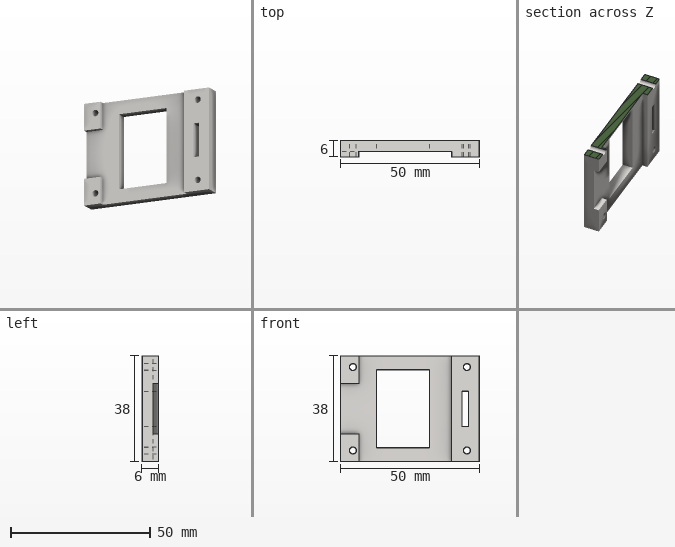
import cadquery as cq

width = 50.0
height = 38.0
plate_thickness = 4.0
pad_thickness = 2.0

corner_pad_width = 6.6
corner_pad_height = 10.0
strip_width = 10.0

window_left = 13.0
window_width = 19.0
window_margin = 5.0
window_height = height - 2 * window_margin

slot_width = 2.2
slot_height = 12.6
slot_right_margin = 4.0
slot_left = width - slot_right_margin - slot_width

hole_diameter = 2.4
hole_side_margin = 4.5
hole_end_margin = 4.0

total_depth = pad_thickness + plate_thickness


def block(left, bottom, front, size_x, size_z, depth):
    """Box placed by its left, front, bottom corner."""
    return cq.Workplane("XY").box(size_x, depth, size_z, centered=False).translate((left, front, bottom))


def through_opening(left, size_x, size_z):
    """Rectangular cutter through the full depth, centred in height."""
    return block(left, (height - size_z) / 2, 0, size_x, size_z, total_depth)


def screw_hole(x, z):
    """Cylindrical cutter through the full depth."""
    cutter = cq.Workplane("XZ").circle(hole_diameter / 2).extrude(-total_depth)
    return cutter.translate((x, 0, z))


body = block(0, 0, pad_thickness, width, height, plate_thickness)

body = body.union(block(width - strip_width, 0, 0, strip_width, height, pad_thickness))
for pad_bottom in (0, height - corner_pad_height):
    body = body.union(block(0, pad_bottom, 0, corner_pad_width, corner_pad_height, pad_thickness))

body = body.cut(through_opening(window_left, window_width, window_height))
body = body.cut(through_opening(slot_left, slot_width, slot_height))

for hole_x in (hole_side_margin, width - hole_side_margin):
    for hole_z in (hole_end_margin, height - hole_end_margin):
        body = body.cut(screw_hole(hole_x, hole_z))

result = body